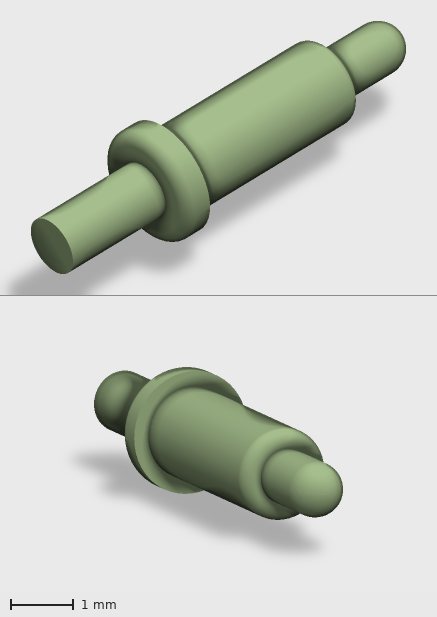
import cadquery as cq

total_length = 7.5
tail_length = 2.0
flange_thickness = 0.5
plunger_length = 1.5
barrel_length = total_length - tail_length - flange_thickness - plunger_length

tail_diameter = 1.0
flange_diameter = 2.0
barrel_diameter = 1.5
plunger_diameter = 0.9
edge_radius = 0.2


def cylinder(start_y, length, diameter):
    """Solid cylinder along +Y, starting at start_y."""
    base = cq.Workplane("XZ", origin=(0, start_y, 0))
    return base.circle(diameter / 2).extrude(-length)


barrel_start = flange_thickness
barrel_end = barrel_start + barrel_length
plunger_radius = plunger_diameter / 2
dome_centre = barrel_end + plunger_length - plunger_radius

tail = cylinder(-tail_length, tail_length, tail_diameter)

flange = cylinder(0, flange_thickness, flange_diameter).faces("<Y").edges().fillet(edge_radius)

barrel = cylinder(barrel_start, barrel_length, barrel_diameter).faces(">Y").edges().fillet(edge_radius)

plunger = cylinder(barrel_end, dome_centre - barrel_end, plunger_diameter)
tip = (
    cq.Workplane("XY")
    .moveTo(0, dome_centre)
    .lineTo(plunger_radius, dome_centre)
    .radiusArc((0, dome_centre + plunger_radius), -plunger_radius)
    .close()
    .revolve(360, (0, 0, 0), (0, 1, 0))
)

result = tail.union(flange).union(barrel).union(plunger).union(tip)